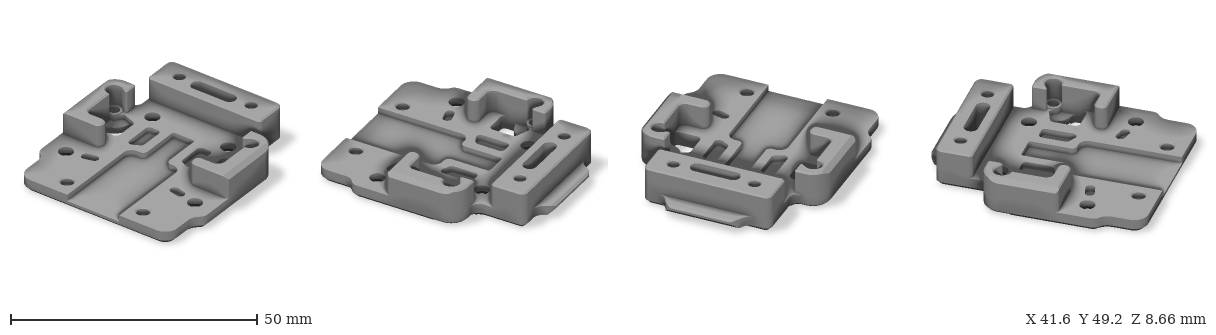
import cadquery as cq
import math

WIDTH = 41.61
LENGTH = 49.23
HEIGHT = 8.66
HALF_WIDTH = WIDTH / 2

WALL_HEIGHT = 5.5
PLATE_TOP = HEIGHT - WALL_HEIGHT
UNDERSIDE_CHAMFER = 1.0
FRONT_HALF_WIDTH = 18.85
FRONT_CORNER_RADIUS = 3.0
FLANK_START_Y = 8.32
FLANK_END_Y = 9.78
FLANK_INNER_RADIUS = 2.9
FLANK_OUTER_RADIUS = 1.95
SHOULDER_Y = 34.6
SHOULDER_RADIUS = 4.0
NECK_HALF_WIDTH = 14.1
NECK_RADIUS = 2.0
REAR_Y = 46.15
REAR_CORNER_RADIUS = 1.5

TONGUE_TIP_HALF_WIDTH = 7.65
TONGUE_ROOT_HALF_WIDTH = 9.1
TONGUE_RADIUS = 2.3
TONGUE_TOP_CHAMFER = 0.5
TONGUE_BOTTOM_CHAMFER = 1.15

EDGE_CHAMFER = 0.33
BLOCK_FRONT_Y = 38.15
UPRIGHT_CORNER_CHAMFER = 0.5
BLOCK_HOLE_DIAMETER = 2.5
BLOCK_HOLE_CHAMFER = 0.25
BLOCK_HOLE_X = 9.0
BLOCK_HOLE_Y = 42.2
BLOCK_SLOT_LENGTH = 11.0
BLOCK_SLOT_WIDTH = 3.0
BLOCK_SLOT_Y = 41.6

WALL_INNER_X = 16.82
WALL_SIDE_CHAMFER = 1.0
WALL_INNER_RADIUS = 1.5
REAR_ARM_END_X = 14.4
FRONT_ARM_Y = 17.7
FRONT_ARM_WIDTH = 2.75
FRONT_ARM_END_X = 11.2
FRONT_ARM_RADIUS = 1.25
WALL_TIP_RADIUS = 0.4

WELL_X = 17.07
WELL_Y = 30.75
WELL_RADIUS = 1.75
WELL_FLOOR = 3.5
WELL_MOUTH_ANGLE = 32
WELL_HOLE_DIAMETER = 2.5
WELL_RECESS_INNER_X = 12.8
WELL_RECESS_INNER_FRONT_Y = 26.7
WELL_RECESS_OUTER_FRONT_Y = 28.2
WELL_RECESS_CORNER_RADIUS = 0.4
WELL_RECESS_DEPTH = 0.5

RECESS_DEPTH = 1.5
RECESS_FLOOR = PLATE_TOP - RECESS_DEPTH
CHANNEL_HALF_WIDTH = 6.5
CHANNEL_NECK_HALF_WIDTH = 2.72
CHANNEL_SHOULDER_Y = 21.45
CHANNEL_END_Y = 31.4
CHANNEL_OUTER_RADIUS = 2.0
CHANNEL_INNER_RADIUS = 1.1
CHANNEL_END_RADIUS = 0.5

POCKET_INNER_X = 4.8
POCKET_OUTER_X = 8.1
POCKET_REAR_Y = 30.2
POCKET_INNER_FRONT_Y = 23.8
POCKET_OUTER_FRONT_Y = 22.1
POCKET_RADIUS = 0.95

SLOT_X = 10.95
SLOT_Y = 14.0
SLOT_LENGTH = 3.85
SLOT_WIDTH = 2.0
SLOT_ANGLE = 14

WINDOW_INNER_X = 10.97
WINDOW_FRONT_Y = 23.36
WINDOW_INNER_REAR_Y = 29.55
WINDOW_OUTER_REAR_Y = 30.92
WINDOW_RADIUS = 1.1
WINDOW_WALL_RADIUS = 0.9
WINDOW_TIP_X = 14.62
WINDOW_TIP_RADIUS = 0.4
LEDGE_RADIUS = 4.3
LEDGE_TOP = 1.9

MOUNT_HOLE_DIAMETER = 3.3
MOUNT_SINK_DEPTH = 1.74
MOUNT_HOLES = [(9.5, 33.55), (16.17, 12.9)]
PIN_HOLE_DIAMETER = 2.75
PIN_HOLE_CHAMFER = 0.3
PIN_HOLE_X = 9.5
PIN_HOLE_Y = 4.1
PIN_HOLE_DEPTH = 1.7


def rounded_prism(corners, bottom, top):
    """Prism over a polygon of (x, y, radius) corners; radius 0 leaves a corner sharp."""
    path = cq.Workplane("XY").workplane(offset=bottom)
    ends = []
    for i, (x, y, radius) in enumerate(corners):
        corner = cq.Vector(x, y)
        before = (cq.Vector(*corners[i - 1][:2]) - corner).normalized()
        after = (cq.Vector(*corners[(i + 1) % len(corners)][:2]) - corner).normalized()
        half_angle = before.getAngle(after) / 2
        reach = radius / math.tan(half_angle)
        bisector = (before + after).normalized()
        middle = corner + bisector * (radius / math.sin(half_angle) - radius)
        ends.append((corner + before * reach, middle, corner + after * reach, radius))
    path = path.moveTo(*ends[0][2].toTuple()[:2])
    for start, middle, end, radius in ends[1:] + ends[:1]:
        path = path.lineTo(start.x, start.y)
        if radius > 0:
            path = path.threePointArc((middle.x, middle.y), (end.x, end.y))
    return path.close().extrude(top - bottom)


def mirrored_corners(half):
    """Close a right-hand chain of corners with its mirror image across X = 0."""
    return half + [(-x, y, radius) for x, y, radius in reversed(half)]


def both_sides(shape):
    """A right-hand shape together with its mirror image across X = 0."""
    return shape.union(shape.mirror("YZ"))


def upright_edge(shape, x, y):
    """The vertical edge of a prism that stands nearest to (x, y)."""
    middle = shape.val().Center().z
    return shape.edges("|Z").edges(cq.selectors.NearestToPointSelector((x, y, middle)))


def cylinder(x, y, diameter, bottom, top):
    sketch = cq.Workplane("XY").workplane(offset=bottom).center(x, y)
    return sketch.circle(diameter / 2).extrude(top - bottom)


def countersink(x, y, diameter, depth, mouth_z, inward=-1):
    """45 degree cone that widens a hole at its mouth; inward is the Z direction into the part."""
    mouth = cq.Workplane("XY").workplane(offset=mouth_z).center(x, y).circle(diameter / 2 + depth)
    return mouth.workplane(offset=inward * depth).circle(diameter / 2).loft()


def outline_prism(bottom, top):
    """Prism over the plate outline without its tongue."""
    half = [
        (FRONT_HALF_WIDTH, 0, FRONT_CORNER_RADIUS),
        (FRONT_HALF_WIDTH, FLANK_START_Y, FLANK_INNER_RADIUS),
        (HALF_WIDTH, FLANK_END_Y, FLANK_OUTER_RADIUS),
        (HALF_WIDTH, SHOULDER_Y, SHOULDER_RADIUS),
        (NECK_HALF_WIDTH, SHOULDER_Y, NECK_RADIUS),
        (NECK_HALF_WIDTH, REAR_Y, REAR_CORNER_RADIUS),
    ]
    return rounded_prism(mirrored_corners(half), bottom, top)


def tongue():
    """Flared tongue with a bevelled tip; its root is buried in the plate as far as the block's front."""
    root_x = NECK_HALF_WIDTH - REAR_CORNER_RADIUS
    half = [
        (root_x, BLOCK_FRONT_Y, 0),
        (root_x, REAR_Y, 0),
        (TONGUE_ROOT_HALF_WIDTH, REAR_Y, TONGUE_RADIUS),
        (TONGUE_TIP_HALF_WIDTH, LENGTH, TONGUE_RADIUS),
    ]
    blank = rounded_prism(mirrored_corners(half), UNDERSIDE_CHAMFER, PLATE_TOP)
    profile = [
        (BLOCK_FRONT_Y, UNDERSIDE_CHAMFER),
        (LENGTH - TONGUE_BOTTOM_CHAMFER, UNDERSIDE_CHAMFER),
        (LENGTH, UNDERSIDE_CHAMFER + TONGUE_BOTTOM_CHAMFER),
        (LENGTH, PLATE_TOP - TONGUE_TOP_CHAMFER),
        (LENGTH - TONGUE_TOP_CHAMFER, PLATE_TOP),
        (BLOCK_FRONT_Y, PLATE_TOP),
    ]
    side = cq.Workplane("YZ").polyline(profile).close().extrude(HALF_WIDTH, both=True)
    return blank.intersect(side)


def rear_block():
    half = [
        (NECK_HALF_WIDTH, BLOCK_FRONT_Y, 0),
        (NECK_HALF_WIDTH, REAR_Y, REAR_CORNER_RADIUS),
    ]
    block = rounded_prism(mirrored_corners(half), PLATE_TOP, HEIGHT)
    block = block.edges("|Z and <Y").chamfer(UPRIGHT_CORNER_CHAMFER)
    block = block.faces(">Z").edges().chamfer(EDGE_CHAMFER)
    for x in (-BLOCK_HOLE_X, BLOCK_HOLE_X):
        block = block.cut(countersink(x, BLOCK_HOLE_Y, BLOCK_HOLE_DIAMETER, BLOCK_HOLE_CHAMFER, HEIGHT))
    return block


def side_wall():
    """Right-hand wall: a C with a thin front arm and a rear arm that wraps the screw well."""
    mouth_angle = math.radians(WELL_MOUTH_ANGLE)
    mouth_slope = math.tan(mouth_angle)
    tangent_x = WELL_X - WELL_RADIUS * math.sin(mouth_angle)
    tangent_y = WELL_Y + WELL_RADIUS * math.cos(mouth_angle)
    mouth_y = tangent_y - (tangent_x - REAR_ARM_END_X) * mouth_slope
    well_foot_y = WELL_Y - math.sqrt(WELL_RADIUS**2 - (WELL_X - WALL_INNER_X) ** 2)
    corners = [
        (HALF_WIDTH, FRONT_ARM_Y, 0),
        (HALF_WIDTH, SHOULDER_Y, SHOULDER_RADIUS),
        (REAR_ARM_END_X, SHOULDER_Y, WALL_TIP_RADIUS),
        (REAR_ARM_END_X, mouth_y, WALL_TIP_RADIUS),
        (tangent_x, tangent_y, 0),
        (WELL_X, WELL_Y, 0),
        (WALL_INNER_X, well_foot_y, 0),
        (WALL_INNER_X, FRONT_ARM_Y + FRONT_ARM_WIDTH, WALL_INNER_RADIUS),
        (FRONT_ARM_END_X, FRONT_ARM_Y + FRONT_ARM_WIDTH, FRONT_ARM_RADIUS),
        (FRONT_ARM_END_X, FRONT_ARM_Y, FRONT_ARM_RADIUS),
    ]
    wall = rounded_prism(corners, PLATE_TOP, HEIGHT)
    wall = wall.cut(cylinder(WELL_X, WELL_Y, 2 * WELL_RADIUS, PLATE_TOP, HEIGHT))
    wall = upright_edge(wall, WALL_INNER_X, well_foot_y).fillet(WALL_TIP_RADIUS)
    wall = upright_edge(wall, HALF_WIDTH, FRONT_ARM_Y).chamfer(UPRIGHT_CORNER_CHAMFER)
    wall = wall.faces(">Z").edges().chamfer(EDGE_CHAMFER)
    side_bevel = (
        cq.Workplane("XZ")
        .moveTo(HALF_WIDTH, HEIGHT)
        .lineTo(HALF_WIDTH - WALL_SIDE_CHAMFER, HEIGHT)
        .lineTo(HALF_WIDTH, HEIGHT - WALL_SIDE_CHAMFER)
        .close()
        .extrude(-LENGTH)
    )
    return wall.cut(side_bevel)


def channel():
    half = [
        (CHANNEL_HALF_WIDTH, 0, 0),
        (CHANNEL_HALF_WIDTH, CHANNEL_SHOULDER_Y, CHANNEL_OUTER_RADIUS),
        (CHANNEL_NECK_HALF_WIDTH, CHANNEL_SHOULDER_Y, CHANNEL_INNER_RADIUS),
        (CHANNEL_NECK_HALF_WIDTH, CHANNEL_END_Y, CHANNEL_END_RADIUS),
    ]
    return rounded_prism(mirrored_corners(half), RECESS_FLOOR, PLATE_TOP)


def plate_pocket():
    corners = [
        (POCKET_INNER_X, POCKET_REAR_Y, POCKET_RADIUS),
        (POCKET_INNER_X, POCKET_INNER_FRONT_Y, POCKET_RADIUS),
        (POCKET_OUTER_X, POCKET_OUTER_FRONT_Y, POCKET_RADIUS),
        (POCKET_OUTER_X, POCKET_REAR_Y, POCKET_RADIUS),
    ]
    return rounded_prism(corners, RECESS_FLOOR, PLATE_TOP)


def tilted_slot():
    sketch = cq.Workplane("XY").workplane(offset=RECESS_FLOOR).center(SLOT_X, SLOT_Y)
    return sketch.slot2D(SLOT_LENGTH, SLOT_WIDTH, -SLOT_ANGLE).extrude(PLATE_TOP - RECESS_FLOOR)


def window():
    """Opening beside the well: cut round the well above the ledge and round the ledge below."""
    inside_well = WELL_RADIUS / 2
    corners = [
        (WINDOW_INNER_X, WINDOW_FRONT_Y, WINDOW_RADIUS),
        (WINDOW_INNER_X, WINDOW_INNER_REAR_Y, WINDOW_RADIUS),
        (WINDOW_TIP_X, WINDOW_OUTER_REAR_Y, WINDOW_TIP_RADIUS),
        (WINDOW_TIP_X + inside_well, WINDOW_OUTER_REAR_Y - inside_well, 0),
        (WALL_INNER_X, WELL_Y - inside_well, 0),
        (WALL_INNER_X, WINDOW_FRONT_Y, WINDOW_WALL_RADIUS),
    ]
    upper = rounded_prism(corners, LEDGE_TOP, PLATE_TOP)
    upper = upper.cut(cylinder(WELL_X, WELL_Y, 2 * WELL_RADIUS, LEDGE_TOP, PLATE_TOP))
    lower = rounded_prism(corners, 0, LEDGE_TOP)
    lower = lower.cut(cylinder(WELL_X, WELL_Y, 2 * LEDGE_RADIUS, 0, LEDGE_TOP))
    lower = upright_edge(lower, WALL_INNER_X, WELL_Y - LEDGE_RADIUS).fillet(WINDOW_WALL_RADIUS)
    return upper.union(lower)


def well_recess():
    """Shallow relief under the screw well, open to the side and the rear of the plate."""
    corners = [
        (WELL_RECESS_INNER_X, WELL_RECESS_INNER_FRONT_Y, WELL_RECESS_CORNER_RADIUS),
        (WALL_INNER_X, WELL_RECESS_INNER_FRONT_Y, WELL_RECESS_CORNER_RADIUS),
        (WALL_INNER_X, WELL_RECESS_OUTER_FRONT_Y, WELL_RECESS_CORNER_RADIUS),
        (HALF_WIDTH, WELL_RECESS_OUTER_FRONT_Y, 0),
        (HALF_WIDTH, SHOULDER_Y, 0),
        (WELL_RECESS_INNER_X, SHOULDER_Y, 0),
    ]
    return rounded_prism(corners, 0, WELL_RECESS_DEPTH)


def well_boss():
    """Seat of the screw well, standing slightly above the plate."""
    return cylinder(WELL_X, WELL_Y, 2 * WELL_RADIUS, LEDGE_TOP, WELL_FLOOR)


def right_hand_cuts():
    cuts = window().union(plate_pocket()).union(tilted_slot())
    for x, y in MOUNT_HOLES:
        cuts = cuts.union(cylinder(x, y, MOUNT_HOLE_DIAMETER, 0, PLATE_TOP))
        cuts = cuts.union(countersink(x, y, MOUNT_HOLE_DIAMETER, MOUNT_SINK_DEPTH, 0, 1))
    cuts = cuts.union(cylinder(BLOCK_HOLE_X, BLOCK_HOLE_Y, BLOCK_HOLE_DIAMETER, 0, HEIGHT))
    pin_floor = PLATE_TOP - PIN_HOLE_DEPTH
    cuts = cuts.union(cylinder(PIN_HOLE_X, PIN_HOLE_Y, PIN_HOLE_DIAMETER, pin_floor, PLATE_TOP))
    cuts = cuts.union(countersink(PIN_HOLE_X, PIN_HOLE_Y, PIN_HOLE_DIAMETER, PIN_HOLE_CHAMFER, PLATE_TOP))
    cuts = cuts.union(cylinder(WELL_X, WELL_Y, WELL_HOLE_DIAMETER, 0, WELL_FLOOR))
    return cuts.union(well_recess())


def block_slot():
    sketch = cq.Workplane("XY").center(0, BLOCK_SLOT_Y)
    return sketch.slot2D(BLOCK_SLOT_LENGTH, BLOCK_SLOT_WIDTH).extrude(HEIGHT)


plate = outline_prism(0, PLATE_TOP).faces("<Z").edges().chamfer(UNDERSIDE_CHAMFER)
result = (
    plate.union(tongue())
    .union(rear_block())
    .union(both_sides(side_wall().union(well_boss())))
    .cut(both_sides(right_hand_cuts()))
    .cut(channel())
    .cut(block_slot())
)